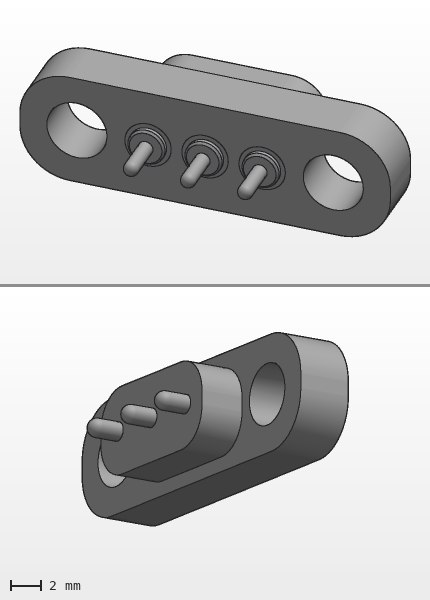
import cadquery as cq
import math

FLANGE_LENGTH = 26.0
FLANGE_HEIGHT = 8.0
FLANGE_CORNER_RADIUS = 3.5
FLANGE_THICKNESS = 3.75
BOSS_LENGTH = 12.0
BOSS_HEIGHT = 6.0
BOSS_CORNER_RADIUS = FLANGE_CORNER_RADIUS - (FLANGE_HEIGHT - BOSS_HEIGHT) / 2
BOSS_DEPTH = 3.15

MOUNT_HOLE_DIAMETER = 4.2
MOUNT_HOLE_SPACING = 18.0

PIN_COUNT = 3
PIN_PITCH = 4.0
HEAD_RADIUS = 3.25 / 2
HEAD_DEPTH = FLANGE_THICKNESS
COLLAR_RADIUS = 2.6 / 2
COLLAR_HEIGHT = 0.45
COLLAR_CHAMFER = 0.15
PLUNGER_RADIUS = 1.05 / 2
PLUNGER_REACH = 3.61
TAIL_RADIUS = 1.3 / 2
TAIL_REACH = 2.3

BOSS_BACK_Y = FLANGE_THICKNESS + BOSS_DEPTH
PIN_POSITIONS = [(i - (PIN_COUNT - 1) / 2) * PIN_PITCH for i in range(PIN_COUNT)]


def rounded_block(length, height, corner_radius, start_y, end_y):
    """Block between two Y positions, with its four edges along Y rounded."""
    block = cq.Workplane("XY").box(length, end_y - start_y, height)
    return block.edges("|Y").fillet(corner_radius).translate((0, (start_y + end_y) / 2, 0))


def bore(x, radius, start_y, end_y):
    """Cylinder along Y, used to cut a round hole at the given X."""
    axis = cq.Vector(0, 1, 0)
    return cq.Solid.makeCylinder(radius, end_y - start_y, cq.Vector(x, start_y, 0), axis)


def make_housing():
    """Flange and boss with two mounting holes and a stepped seat for each pin."""
    flange = rounded_block(FLANGE_LENGTH, FLANGE_HEIGHT, FLANGE_CORNER_RADIUS, 0, FLANGE_THICKNESS)
    boss = rounded_block(BOSS_LENGTH, BOSS_HEIGHT, BOSS_CORNER_RADIUS, FLANGE_THICKNESS, BOSS_BACK_Y)
    body = flange.union(boss)
    for side in (-1, 1):
        hole_x = side * MOUNT_HOLE_SPACING / 2
        body = body.cut(bore(hole_x, MOUNT_HOLE_DIAMETER / 2, 0, FLANGE_THICKNESS))
    for x in PIN_POSITIONS:
        body = body.cut(bore(x, HEAD_RADIUS, 0, HEAD_DEPTH))
        body = body.cut(bore(x, TAIL_RADIUS, HEAD_DEPTH, BOSS_BACK_Y))
    return body


def make_pin(x):
    """Turned pin: plunger and chamfered collar in front of a flush head, with a tail behind.

    The half profile runs from the plunger tip to the tail tip; both tips are hemispheres.
    """
    plunger_tip_y = -PLUNGER_REACH
    plunger_round_y = plunger_tip_y + PLUNGER_RADIUS
    tail_tip_y = BOSS_BACK_Y + TAIL_REACH
    tail_round_y = tail_tip_y - TAIL_RADIUS
    diagonal = math.sqrt(0.5)
    plunger_arc_middle = (PLUNGER_RADIUS * diagonal, plunger_round_y - PLUNGER_RADIUS * diagonal)
    tail_arc_middle = (TAIL_RADIUS * diagonal, tail_round_y + TAIL_RADIUS * diagonal)

    profile = (
        cq.Workplane("XY")
        .moveTo(0, plunger_tip_y)
        .threePointArc(plunger_arc_middle, (PLUNGER_RADIUS, plunger_round_y))
        .lineTo(PLUNGER_RADIUS, -COLLAR_HEIGHT)
        .lineTo(COLLAR_RADIUS - COLLAR_CHAMFER, -COLLAR_HEIGHT)
        .lineTo(COLLAR_RADIUS, COLLAR_CHAMFER - COLLAR_HEIGHT)
        .lineTo(COLLAR_RADIUS, 0)
        .lineTo(HEAD_RADIUS, 0)
        .lineTo(HEAD_RADIUS, HEAD_DEPTH)
        .lineTo(TAIL_RADIUS, HEAD_DEPTH)
        .lineTo(TAIL_RADIUS, tail_round_y)
        .threePointArc(tail_arc_middle, (0, tail_tip_y))
        .close()
    )
    return profile.revolve(360, (0, 0, 0), (0, 1, 0)).translate((x, 0, 0))


housing = make_housing()
pins = [make_pin(x) for x in PIN_POSITIONS]
result = cq.Compound.makeCompound([housing.val(), *[pin.val() for pin in pins]])